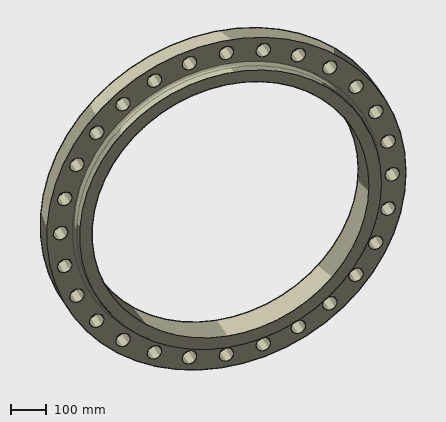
import cadquery as cq

outer_diameter = 1060.0
bore_diameter = 817.0
flange_thickness = 57.0
total_length = 92.0

hub_diameter = 891.0
hub_root_radius = 10.0

bolt_count = 28
bolt_circle_diameter = 979.0
bolt_hole_diameter = 42.0


def disc(diameter, length):
    """Solid disc standing on the X = 0 plane and extending along +X."""
    return cq.Workplane("YZ").circle(diameter / 2).extrude(length)


def flange_with_hub():
    """Flange and hub turned as one profile, joined by the root fillet."""
    outer_radius = outer_diameter / 2
    hub_radius = hub_diameter / 2
    fillet_middle = hub_root_radius * (1 - 0.5 ** 0.5)
    return (
        cq.Workplane("XY")
        .lineTo(0, outer_radius)
        .lineTo(flange_thickness, outer_radius)
        .lineTo(flange_thickness, hub_radius + hub_root_radius)
        .threePointArc(
            (flange_thickness + fillet_middle, hub_radius + fillet_middle),
            (flange_thickness + hub_root_radius, hub_radius),
        )
        .lineTo(total_length, hub_radius)
        .lineTo(total_length, 0)
        .close()
        .revolve(360, (0, 0, 0), (1, 0, 0))
    )


def bolt_holes():
    """Cutters for the bolt holes, the first one on the +Y axis."""
    return (
        cq.Workplane("YZ")
        .polarArray(bolt_circle_diameter / 2, 0, 360, bolt_count)
        .circle(bolt_hole_diameter / 2)
        .extrude(total_length)
    )


bore = disc(bore_diameter, total_length)
result = flange_with_hub().cut(bore).cut(bolt_holes())